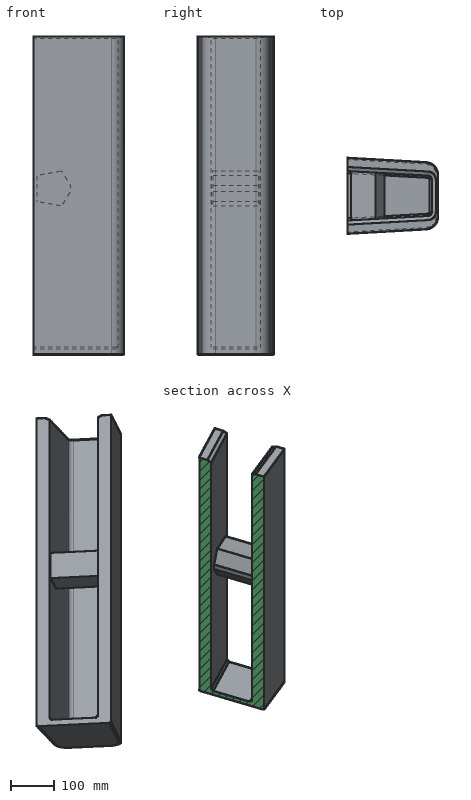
import cadquery as cq

height = 733.0
depth = 209.0
mouth_width = 175.0
back_width = 152.0
outer_corner_radius = 31.0
bottom_chamfer_height = 2.0
bottom_chamfer_width = 4.5

side_wall = 31.0
back_wall = 15.0
floor_thickness = 14.0
inner_corner_radius = 9.5
rim_bevel_width = 9.5
rim_bevel_height = 4.8
floor_bevel_width = 5.0
floor_bevel_height = 5.0
overrun = 37.0

beam_front = 9.0
beam_crest = 65.0
beam_back = 85.0
beam_middle = 383.0
beam_front_height = 60.0
beam_crest_height = 80.5
beam_back_height = 15.0

side_slope = (mouth_width - back_width) / 2 / depth


def tapered_outline(start, end, half_width_at_mouth, z):
    """Symmetric outline in plan whose sides follow the wall slope."""
    start_half = half_width_at_mouth - side_slope * start
    end_half = half_width_at_mouth - side_slope * end
    points = [(start, -start_half), (end, -end_half), (end, end_half), (start, start_half)]
    return cq.Workplane("XY").workplane(offset=z).polyline(points).close()


def rounded_prism(start, end, half_width_at_mouth, radius, z, prism_height):
    outline = tapered_outline(start, end, half_width_at_mouth, z)
    return outline.extrude(prism_height).edges("|Z and >X").fillet(radius)


def outer_prism(inset, z, prism_height):
    """Solid envelope of the channel, its walls moved inward by inset."""
    half_width = mouth_width / 2 - inset
    return rounded_prism(0, depth - inset, half_width, outer_corner_radius - inset, z, prism_height)


def cavity_prism(inset, z, prism_height):
    """Cavity volume, its walls moved inward by inset."""
    half_width = mouth_width / 2 - side_wall - inset
    end = depth - back_wall - inset
    return rounded_prism(-overrun, end, half_width, inner_corner_radius - inset, z, prism_height)


def beveled_band(prism, lower_inset, upper_inset, z, band_height):
    """Short loft between two insets of the same outline."""
    lower = prism(lower_inset, z, band_height).faces("<Z").wires().val()
    upper = prism(upper_inset, z + band_height, band_height).faces("<Z").wires().val()
    return cq.Workplane(cq.Solid.makeLoft([lower, upper], True))


def outer_body():
    upper_body = outer_prism(0, bottom_chamfer_height, height - bottom_chamfer_height)
    chamfered_base = beveled_band(outer_prism, bottom_chamfer_width, 0, 0, bottom_chamfer_height)
    return upper_body.union(chamfered_base)


def cavity():
    base = floor_thickness + floor_bevel_height
    main_volume = cavity_prism(0, base, height - base)
    floor_band = beveled_band(cavity_prism, floor_bevel_width, 0, floor_thickness, floor_bevel_height)
    rim_band = beveled_band(cavity_prism, 0, -rim_bevel_width, height - rim_bevel_height, rim_bevel_height)
    return main_volume.union(floor_band).union(rim_band)


def cross_beam():
    section = [
        (beam_front, beam_front_height / 2),
        (beam_crest, beam_crest_height / 2),
        (beam_back, beam_back_height / 2),
    ]
    lower_half = [(x, -z) for x, z in reversed(section)]
    upper_and_lower = section + lower_half
    prism = (
        cq.Workplane("XZ", origin=(0, 0, beam_middle))
        .polyline(upper_and_lower)
        .close()
        .extrude(mouth_width / 2, both=True)
    )
    wall_middle = mouth_width / 2 - side_wall / 2
    return prism.intersect(tapered_outline(0, depth, wall_middle, 0).extrude(height))


result = outer_body().cut(cavity()).union(cross_beam())